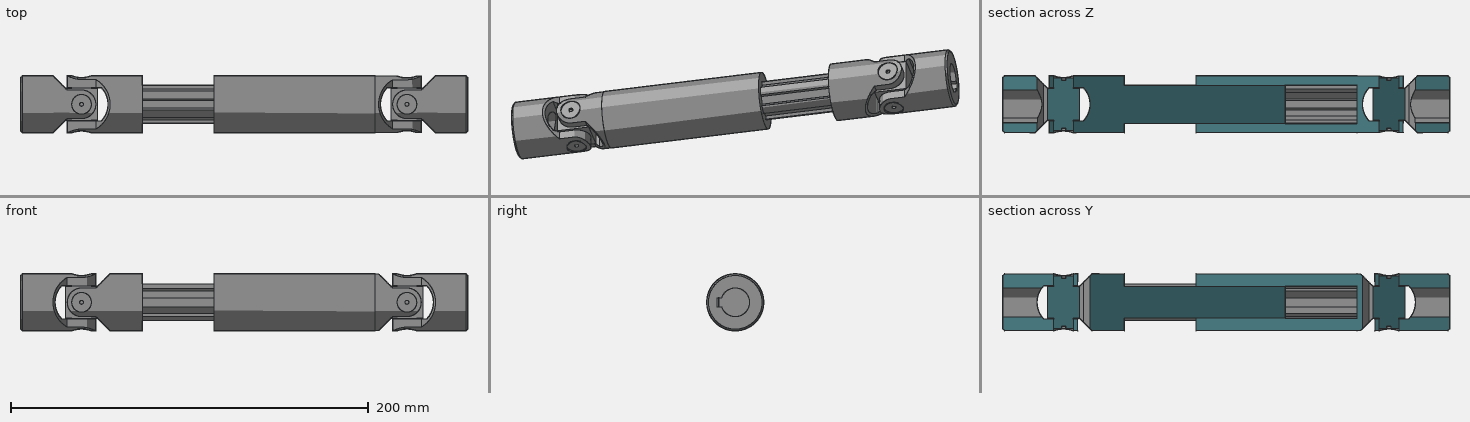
import cadquery as cq

total_length = 250.0
joint_inset = 34.0
left_joint_x = joint_inset
right_joint_x = total_length - joint_inset
shaft_fork_end_x = 68.0
exposed_spline_length = 40.0
sleeve_start_x = shaft_fork_end_x + exposed_spline_length
sleeve_length = 90.0
sleeve_end_x = sleeve_start_x + sleeve_length

outer_radius = 32.0 / 2
ear_radius = 16.0 / 2
ear_inner_offset = 9.2
pocket_radius = 27.0 / 2
pocket_shift = 1.2
sleeve_fork_radius = 31.8 / 2

bore_radius = 16.0 / 2
keyway_width = 5.0
keyway_floor = 10.2
hub_chamfer = 1.0

cross_block_size = 18.0
pin_radius = 11.0 / 2
pin_half_length = 14.8
centre_hole_diameter = 2.2
centre_hole_depth = 1.2

tooth_count = 6
spline_minor_radius = 18.0 / 2
spline_major_radius = 21.5 / 2
tooth_width = 5.0
shaft_end_x = sleeve_end_x - exposed_spline_length


def rod(radius, start_x, end_x):
    """A cylinder around the X axis."""
    return cq.Workplane("YZ").workplane(offset=start_x).circle(radius).extrude(end_x - start_x)


def fork_cutter():
    """What is removed from a round bar to leave two ears, for a joint centred on the origin.

    The bar lies on the -X side and the pin axis of the ears is Z.
    """
    reach = 2 * outer_radius
    tongue = (
        cq.Workplane("XY")
        .moveTo(-reach, -reach)
        .lineTo(-ear_radius, -ear_radius)
        .lineTo(0, -ear_radius)
        .threePointArc((ear_radius, 0), (0, ear_radius))
        .lineTo(-ear_radius, ear_radius)
        .lineTo(-reach, reach)
        .close()
        .extrude(reach, both=True)
    )
    around_tongue = cq.Workplane("XY").box(2 * reach, 2 * reach, 2 * reach).cut(tongue)
    round_end = (
        cq.Workplane("XZ").center(-pocket_shift, 0).circle(pocket_radius).extrude(reach, both=True)
    )
    ear_gap = cq.Workplane("XY").box(2 * reach, 2 * reach, 2 * ear_inner_offset)
    pocket = ear_gap.intersect(round_end)
    pin_hole = cq.Workplane("XY").circle(pin_radius).extrude(reach, both=True)
    return around_tongue.union(pocket).union(pin_hole)


def cut_fork(bar, joint_x, pin_axis, bar_on_left):
    """Shape the end of a bar into a fork around the joint at joint_x."""
    cutter = fork_cutter()
    if not bar_on_left:
        cutter = cutter.mirror("YZ")
    if pin_axis == "Y":
        cutter = cutter.rotate((0, 0, 0), (1, 0, 0), 90)
    return bar.cut(cutter.translate((joint_x, 0, 0)))


def make_hub():
    """Left end piece: a fork with a keyed bore and a chamfered outer rim."""
    bar = rod(outer_radius, 0, left_joint_x + ear_radius)
    bar = bar.faces("<X").chamfer(hub_chamfer)
    bore = rod(bore_radius, 0, left_joint_x)
    keyway = (
        cq.Workplane("XY")
        .box(left_joint_x, keyway_floor, keyway_width)
        .translate((left_joint_x / 2, -keyway_floor / 2, 0))
    )
    return cut_fork(bar.cut(bore).cut(keyway), left_joint_x, "Z", True)


def make_cross(joint_x):
    """Square block with four round pins, each with a centre hole in its end."""
    cross = cq.Workplane("XY").box(cross_block_size, cross_block_size, cross_block_size)
    for plane in ("XY", "XZ"):
        pin_pair = cq.Workplane(plane).circle(pin_radius).extrude(pin_half_length, both=True)
        cross = cross.union(pin_pair)
    for end in (">Z", "<Z", ">Y", "<Y"):
        cross = cross.faces(end).workplane(centerOption="CenterOfMass").hole(
            centre_hole_diameter, centre_hole_depth
        )
    return cross.translate((joint_x, 0, 0))


def spline_bar(start_x, end_x):
    """Round core with straight-sided teeth around the X axis, one of them toward -Y."""
    bar = rod(spline_minor_radius, start_x, end_x)
    length = end_x - start_x
    for index in range(tooth_count):
        tooth = (
            cq.Workplane("XY")
            .box(length, spline_major_radius, tooth_width)
            .translate(((start_x + end_x) / 2, -spline_major_radius / 2, 0))
            .rotate((0, 0, 0), (1, 0, 0), index * 360 / tooth_count)
        )
        bar = bar.union(tooth)
    return bar.intersect(rod(spline_major_radius, start_x, end_x))


def make_splined_shaft():
    """Fork with the splined shaft that slides in the sleeve."""
    bar = rod(outer_radius, left_joint_x - ear_radius, shaft_fork_end_x)
    fork = cut_fork(bar, left_joint_x, "Y", False)
    return fork.union(spline_bar(shaft_fork_end_x, shaft_end_x))


def make_sleeve():
    """Splined sleeve that ends in a slightly thinner fork."""
    tube = rod(outer_radius, sleeve_start_x, sleeve_end_x)
    fork_bar = rod(sleeve_fork_radius, sleeve_end_x, right_joint_x + ear_radius)
    sleeve = cut_fork(tube.union(fork_bar), right_joint_x, "Y", True)
    return sleeve.cut(spline_bar(sleeve_start_x, sleeve_end_x))


left_hub = make_hub()
right_hub = left_hub.mirror("YZ", (total_length / 2, 0, 0))
splined_shaft = make_splined_shaft()
sleeve = make_sleeve()
crosses = [make_cross(joint_x) for joint_x in (left_joint_x, right_joint_x)]

result = cq.Compound.makeCompound([
    left_hub.val(),
    right_hub.val(),
    splined_shaft.val(),
    sleeve.val(),
    *[cross.val() for cross in crosses],
])